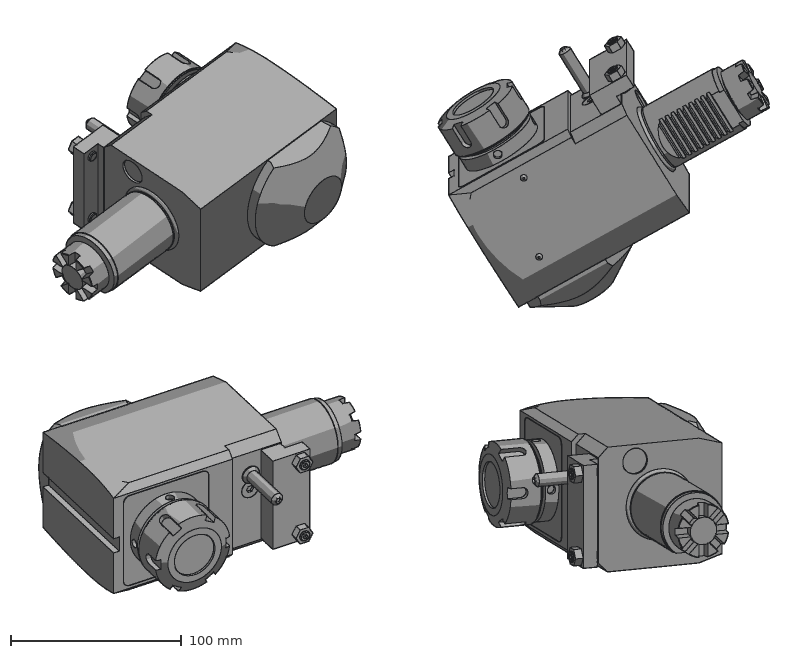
import cadquery as cq
import math


left_x = -42.0
right_x = 39.0
back_y = 116.0
half_height = 37.7
bevel_z = 33.5
top_left_x = -37.7
top_right_x = 24.3
top_left_y = 103.0
top_right_y = 104.1
crown_x = -13.0
top_crown_y = 112.8
base_crown_y = 129.0
back_slot_width = 10.0
back_slot_depth = 3.9

step_x = -39.0
step_length = 35.0
step_chamfer = 5.9

panel_width = 58.1
panel_height = 63.3
panel_corner = 4.5
panel_depth = 0.4
port_x = -15.8
port_z = 27.6
port_radius = 7.7
port_depth = 1.5
plug_y = 21.2
plug_z = 5.9
plug_radius = 5.7
plug_depth = 0.2
plug_socket_width = 4.0
plug_socket_depth = 1.8

spindle_y = 80.0
cover_radius = 40.1
cover_rim_x = 45.3
cover_end_x = 62.0
cover_end_radius = 15.8
cover_back_y = 111.7
cover_flat_x = 41.8
cover_flat_z = 33.0

shank_radius = 20.0
shank_flange_radius = 21.5
shank_flange_length = 1.8
shank_relief_radius = shank_flange_radius - shank_flange_length
shank_relief_y = -3.0
shank_bevel_y = -50.0
shank_end_y = -53.0
shank_end_radius = 19.5
rack_flat_z = -16.0
rack_ramp_y = -3.5
rack_first_y = -11.5
rack_last_y = -43.6
rack_groove_count = 9
rack_pitch = (rack_first_y - rack_last_y) / (rack_groove_count - 1)
rack_groove_depth = 1.7
rack_groove_floor = 1.8
rack_groove_mouth = 3.1

neck_radius = 13.2
drive_start_y = -54.0
drive_end_y = -68.0
drive_radius = 16.2
drive_chamfer = 0.4
drive_core_radius = 8.3
drive_slot_count = 8
drive_slot_depth = 4.5
drive_slot_floor = 4.0
drive_slot_mouth = 5.7

collar_x = -49.9
collar_radius = 24.3
collar_hole_x = -46.2
collar_hole_radius = 2.5
collar_hole_depth = 2.8
collar_hole_count = 4
groove_radius = 20.5
groove_x = -52.0
nut_start_radius = 24.7
nut_rear_x = -53.0
nut_bevel_x = -72.1
nut_end_x = -74.5
nut_radius = 25.4
nut_end_radius = 18.2
nut_bore_radius = 13.8
nut_bore_depth = 1.5
nut_slot_count = 6
nut_slot_width = 6.6
side_slot_x = -61.5
slanted_slot_x = -57.8
nut_slot_floor = 22.0

bar_outer_x = -52.8
bar_inner_x = -44.2
bar_front_y = -11.2
bar_leg_y = 0.5
bar_back_y = 14.0
bar_half_height = 31.1
screw_y = -4.8
screw_z = 25.0
screw_hex_width = 10.0
screw_hex_x = -57.5
screw_tip_x = -58.7
screw_tip_radius = 3.3
screw_tail_x = -42.5
screw_tail_radius = 3.1
screw_chamfer = 0.5
screw_socket_width = 2.5
screw_socket_depth = 1.5

pin_y = 21.0
pin_z = 16.2
pin_radius = 3.9
pin_end_x = -71.5
pin_chamfer = 2.2
pin_flange_radius = 5.7
pin_flange_rim = 0.7
pin_flange_x = -41.4
pin_socket_width = 3.5
pin_socket_depth = 1.8

stud_places = [(-30.2, 71.8), (16.7, 88.9)]
stud_height = 1.1
stud_radius = 2.0
stud_tip_radius = 0.5


def box(x0, x1, y0, y1, z0, z1):
    return cq.Workplane("XY").box(x1 - x0, y1 - y0, z1 - z0, centered=False).translate((x0, y0, z0))


def x_turned(profile, y, z):
    """Solid turned about a line along X; profile points are (x, radius)."""
    turned = cq.Workplane("XY").polyline(profile).close().revolve(360, (0, 0), (1, 0))
    return turned.translate((0, y, z))


def x_cylinder(x0, x1, radius, y, z):
    return cq.Workplane("YZ", origin=(x0, y, z)).circle(radius).extrude(x1 - x0)


def x_hexagon(x0, x1, flat_width, y, z):
    across_corners = flat_width / math.cos(math.pi / 6)
    return cq.Workplane("YZ", origin=(x0, y, z)).polygon(6, across_corners).extrude(x1 - x0)


def crown_arc_middle(end_x, end_y, crown_y):
    """Middle point of the arc that is level at the crown and ends at the given point."""
    across = end_x - crown_x
    drop = crown_y - end_y
    radius = (across**2 + drop**2) / (2 * drop)
    half_angle = math.atan2(across, radius - drop) / 2
    return (crown_x + radius * math.sin(half_angle), crown_y - radius * (1 - math.cos(half_angle)))


def housing_outline(plane, x0, x1, left_y, right_y, crown_y):
    return (
        plane.moveTo(x0, 0)
        .lineTo(x1, 0)
        .lineTo(x1, right_y)
        .threePointArc(crown_arc_middle(x1, right_y, crown_y), (crown_x, crown_y))
        .threePointArc(crown_arc_middle(x0, left_y, crown_y), (x0, left_y))
        .close()
    )


def base_outline(z):
    plane = cq.Workplane("XY", origin=(0, 0, z))
    return housing_outline(plane, left_x, right_x, back_y, back_y, base_crown_y)


def make_housing():
    middle = base_outline(-bevel_z).extrude(2 * bevel_z)
    bevelled = housing_outline(
        base_outline(bevel_z).workplane(offset=half_height - bevel_z),
        top_left_x, top_right_x, top_left_y, top_right_y, top_crown_y,
    ).loft(ruled=True)
    housing = middle.union(bevelled).union(bevelled.mirror("XY"))
    housing = housing.intersect(box(left_x, right_x, 0, back_y, -half_height, half_height))
    half_slot = back_slot_width / 2
    slot = box(left_x, right_x, back_y - back_slot_depth, back_y, -half_slot, half_slot)
    return housing.cut(slot)


def make_step_cut():
    """Material outside the chamfered step at the front of the left side."""
    block = box(left_x, 0, 0, step_length, -half_height, half_height)
    kept = box(step_x, 0, 0, step_length, -half_height, half_height)
    return block.cut(kept.edges("|Y and <X").chamfer(step_chamfer))


def make_face_recesses():
    panel = (
        cq.Workplane("YZ", origin=(left_x, spindle_y, 0))
        .rect(panel_width, panel_height)
        .extrude(panel_depth)
        .edges("|X")
        .fillet(panel_corner)
    )
    port = cq.Workplane("XZ", origin=(port_x, 0, port_z)).circle(port_radius).extrude(-port_depth)
    plug = x_cylinder(step_x, step_x + plug_depth, plug_radius, plug_y, plug_z)
    socket = x_hexagon(step_x, step_x + plug_socket_depth, plug_socket_width, plug_y, plug_z)
    return panel.union(port).union(plug).union(socket)


def make_cover():
    profile = [
        (right_x, 0),
        (right_x, cover_radius),
        (cover_rim_x, cover_radius),
        (cover_end_x, cover_end_radius),
        (cover_end_x, 0),
    ]
    cover = x_turned(profile, spindle_y, 0)
    bevel_slope = (half_height - bevel_z) / (right_x - top_right_x)
    end_z = cover_flat_z - bevel_slope * (cover_end_x - cover_flat_x)
    side_shape = [
        (right_x, -cover_flat_z),
        (cover_flat_x, -cover_flat_z),
        (cover_end_x, -end_z),
        (cover_end_x, end_z),
        (cover_flat_x, cover_flat_z),
        (right_x, cover_flat_z),
    ]
    back_plane = cq.Workplane("XZ", origin=(0, cover_back_y, 0))
    envelope = back_plane.polyline(side_shape).close().extrude(cover_back_y)
    return cover.intersect(envelope)


def make_shank():
    arc_middle = shank_flange_length * math.cos(math.pi / 4)
    shank = (
        cq.Workplane("XY")
        .lineTo(shank_flange_radius, 0)
        .threePointArc(
            (shank_relief_radius + arc_middle, -arc_middle),
            (shank_relief_radius, -shank_flange_length),
        )
        .lineTo(shank_relief_radius, shank_relief_y)
        .lineTo(shank_radius, shank_relief_y)
        .lineTo(shank_radius, shank_bevel_y)
        .lineTo(shank_end_radius, shank_bevel_y)
        .lineTo(shank_end_radius, shank_end_y)
        .lineTo(0, shank_end_y)
        .close()
        .revolve(360, (0, 0), (0, 1))
    )
    return shank.cut(make_rack_cut())


def make_rack_cut():
    """Flat with a sloped run-out and tapered grooves, cut along X into the underside."""
    ramp_length = shank_flange_radius + rack_flat_z
    flat_shape = [
        (rack_ramp_y, -shank_flange_radius),
        (rack_ramp_y - ramp_length, rack_flat_z),
        (shank_end_y, rack_flat_z),
        (shank_end_y, -shank_flange_radius),
    ]
    start = cq.Workplane("YZ", origin=(-shank_flange_radius, 0, 0))
    cut = start.polyline(flat_shape).close().extrude(2 * shank_flange_radius)
    for index in range(rack_groove_count):
        y = rack_first_y - index * rack_pitch
        groove_shape = [
            (y + rack_groove_mouth / 2, rack_flat_z),
            (y + rack_groove_floor / 2, rack_flat_z + rack_groove_depth),
            (y - rack_groove_floor / 2, rack_flat_z + rack_groove_depth),
            (y - rack_groove_mouth / 2, rack_flat_z),
        ]
        cut = cut.union(start.polyline(groove_shape).close().extrude(2 * shank_flange_radius))
    return cut


def y_cylinder(y0, y1, radius):
    return cq.Workplane("XZ", origin=(0, y0, 0)).circle(radius).extrude(y0 - y1)


def make_drive():
    drive = y_cylinder(drive_start_y, drive_end_y, drive_radius).faces("<Y").chamfer(drive_chamfer)
    slot_floor_y = drive_end_y + drive_slot_depth
    slot_shape = [
        (-drive_slot_mouth / 2, drive_end_y),
        (-drive_slot_floor / 2, slot_floor_y),
        (drive_slot_floor / 2, slot_floor_y),
        (drive_slot_mouth / 2, drive_end_y),
    ]
    slot = cq.Workplane("XY").polyline(slot_shape).close().extrude(drive_radius)
    for index in range(drive_slot_count):
        drive = drive.cut(slot.rotate((0, 0, 0), (0, 1, 0), index * 360 / drive_slot_count))
    core = y_cylinder(drive_start_y, drive_end_y, drive_core_radius)
    neck = y_cylinder(shank_end_y, drive_start_y, neck_radius)
    return drive.union(core).union(neck)


def make_chuck():
    profile = [
        (left_x + panel_depth, 0),
        (left_x + panel_depth, collar_radius),
        (collar_x, collar_radius),
        (collar_x, groove_radius),
        (groove_x, groove_radius),
        (groove_x, nut_start_radius),
        (nut_rear_x, nut_start_radius),
        (nut_rear_x, nut_radius),
        (nut_bevel_x, nut_radius),
        (nut_end_x, nut_end_radius),
        (nut_end_x, 0),
    ]
    chuck = x_turned(profile, 0, 0)
    chuck = chuck.cut(x_cylinder(nut_end_x, nut_end_x + nut_bore_depth, nut_bore_radius, 0, 0))
    for index in range(nut_slot_count):
        faces_along_y = index % (nut_slot_count // 2) == 0
        slot = make_nut_slot(side_slot_x if faces_along_y else slanted_slot_x)
        chuck = chuck.cut(slot.rotate((0, 0, 0), (1, 0, 0), index * 360 / nut_slot_count))
    hole = (
        cq.Workplane("XY", origin=(collar_hole_x, 0, collar_radius - collar_hole_depth))
        .circle(collar_hole_radius)
        .extrude(collar_radius)
    )
    for index in range(collar_hole_count):
        chuck = chuck.cut(hole.rotate((0, 0, 0), (1, 0, 0), index * 360 / collar_hole_count))
    return chuck.translate((0, spindle_y, 0))


def make_nut_slot(inner_x):
    """Round-ended wrench slot on the +Y side of the nut, ending at inner_x."""
    half_width = nut_slot_width / 2
    return (
        cq.Workplane("XZ", origin=(0, nut_slot_floor, 0))
        .moveTo(nut_end_x, -half_width)
        .lineTo(inner_x - half_width, -half_width)
        .threePointArc((inner_x, 0), (inner_x - half_width, half_width))
        .lineTo(nut_end_x, half_width)
        .close()
        .extrude(-nut_slot_floor)
    )


def make_clamp_bar():
    plate = box(bar_outer_x, bar_inner_x, bar_front_y, bar_back_y, -bar_half_height, bar_half_height)
    leg = box(bar_inner_x, step_x, bar_leg_y, bar_back_y, -bar_half_height, bar_half_height)
    bar = plate.union(leg)
    for z in (-screw_z, screw_z):
        bar = bar.union(make_screw(z))
    return bar


def make_screw(z):
    head = x_hexagon(screw_hex_x, bar_outer_x, screw_hex_width, screw_y, z)
    stem = x_cylinder(screw_hex_x, screw_tail_x, screw_tail_radius, screw_y, z)
    stem = stem.faces(">X").chamfer(screw_chamfer)
    tip = x_cylinder(screw_tip_x, screw_hex_x, screw_tip_radius, screw_y, z)
    tip = tip.faces("<X").chamfer(screw_chamfer)
    socket = x_hexagon(screw_tip_x, screw_tip_x + screw_socket_depth, screw_socket_width, screw_y, z)
    return head.union(stem).union(tip).cut(socket)


def make_pin():
    profile = [
        (step_x, 0),
        (step_x, pin_flange_radius),
        (step_x - pin_flange_rim, pin_flange_radius),
        (pin_flange_x, pin_radius),
        (pin_end_x + pin_chamfer, pin_radius),
        (pin_end_x, pin_radius - pin_chamfer),
        (pin_end_x, 0),
    ]
    socket = x_hexagon(pin_end_x, pin_end_x + pin_socket_depth, pin_socket_width, pin_y, pin_z)
    return x_turned(profile, pin_y, pin_z).cut(socket)


def make_studs():
    studs = cq.Workplane("XY")
    for x, y in stud_places:
        stud = (
            cq.Workplane("XY", origin=(x, y, -half_height))
            .circle(stud_radius)
            .workplane(offset=-stud_height)
            .circle(stud_tip_radius)
            .loft()
        )
        studs = studs.union(stud)
    return studs


attached_parts = [
    make_cover(),
    make_shank(),
    make_drive(),
    make_chuck(),
    make_clamp_bar(),
    make_pin(),
    make_studs(),
]
result = make_housing().cut(make_step_cut()).cut(make_face_recesses())
for piece in attached_parts:
    result = result.union(piece)